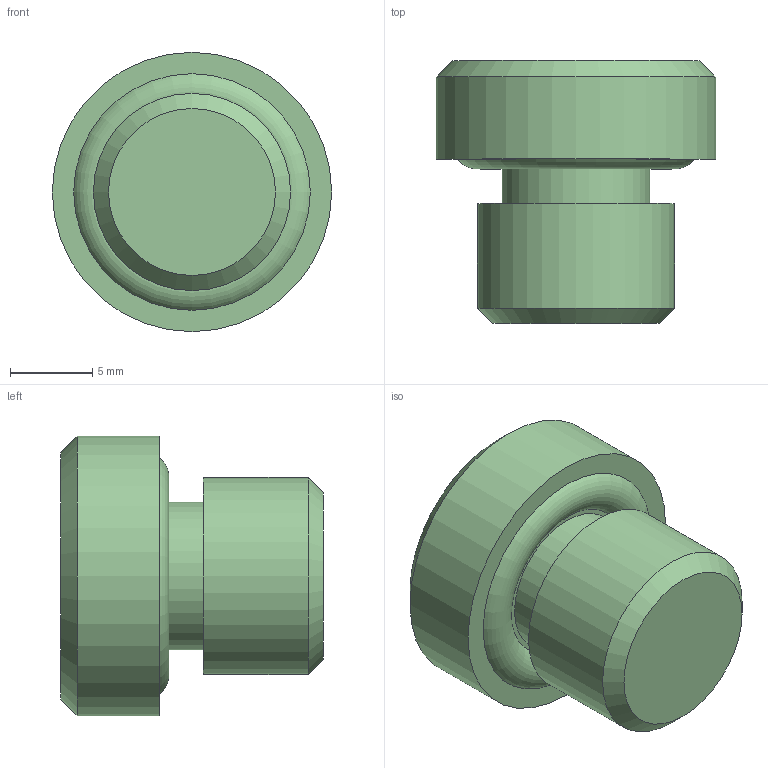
import cadquery as cq
import math

total_length = 16.0

head_diameter = 17.0
head_length = 6.0
head_chamfer = 1.0

neck_diameter = 9.0
neck_length = 2.7

shank_diameter = 12.0
shank_length = total_length - head_length - neck_length
shank_chamfer = 0.92

ring_cord_diameter = 3.0
ring_inner_diameter = 9.0
ring_height = 0.6


def cylinder(diameter, start_y, length):
    """Solid cylinder running from start_y towards +Y."""
    return (
        cq.Workplane("XZ", origin=(0, start_y, 0))
        .circle(diameter / 2)
        .extrude(-length)
    )


def make_head():
    """Head with a chamfer around its outer end."""
    head = cylinder(head_diameter, 0, head_length)
    return head.faces(">Y").edges().chamfer(head_chamfer)


def make_neck():
    return cylinder(neck_diameter, -neck_length, neck_length)


def make_shank():
    """Shank with a chamfer around its free end."""
    shank = cylinder(shank_diameter, -neck_length - shank_length, shank_length)
    return shank.faces("<Y").edges().chamfer(shank_chamfer)


def make_ring():
    """Exposed part of the ring: a circular segment turned about the Y axis."""
    cord_radius = ring_cord_diameter / 2
    ring_radius = (ring_inner_diameter + ring_cord_diameter) / 2
    sunk_depth = cord_radius - ring_height
    half_width = math.sqrt(cord_radius**2 - sunk_depth**2)
    return (
        cq.Workplane("XY")
        .moveTo(ring_radius - half_width, 0)
        .threePointArc((ring_radius, -ring_height), (ring_radius + half_width, 0))
        .close()
        .revolve(360, (0, 0, 0), (0, 1, 0))
    )


result = make_head().union(make_neck()).union(make_shank()).union(make_ring())